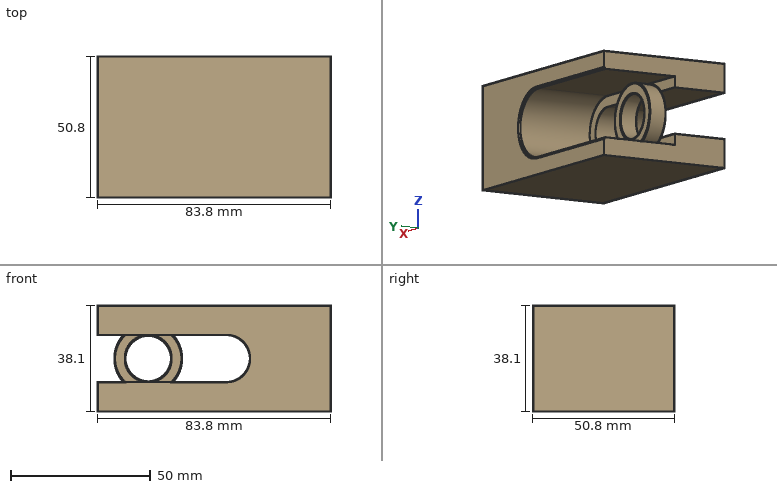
import cadquery as cq

BLOCK_LENGTH = 83.82
BLOCK_WIDTH = 50.8
BLOCK_HEIGHT = 38.1

SLOT_AXIS_X = 46.3
NARROW_SLOT_HEIGHT = 16.9
WIDE_SLOT_HEIGHT = 25.0
STEP_Y = 21.0
MOUTH_CHAMFER = 0.6

RING_CENTER_X = 18.2
RING_OUTER_DIAMETER = 24.4
RING_BORE_DIAMETER = 16.4
RING_THICKNESS = 6.9
RING_CHAMFER = 0.25


def slot_cutter(height, start_y, end_y):
    """Slot open at X = 0 with a round inner end, running along Y."""
    radius = height / 2
    profile = (
        cq.Workplane("XZ", origin=(0, start_y, 0))
        .moveTo(0, -radius)
        .lineTo(SLOT_AXIS_X, -radius)
        .threePointArc((SLOT_AXIS_X + radius, 0), (SLOT_AXIS_X, radius))
        .lineTo(0, radius)
        .close()
    )
    return profile.extrude(start_y - end_y)


def make_block():
    """Rectangular block with the stepped slot and a chamfered rear slot mouth."""
    block = cq.Workplane("XY").box(
        BLOCK_LENGTH, BLOCK_WIDTH, BLOCK_HEIGHT, centered=(False, False, True)
    )
    block = block.cut(slot_cutter(NARROW_SLOT_HEIGHT, 0, STEP_Y))
    block = block.cut(slot_cutter(WIDE_SLOT_HEIGHT, STEP_Y, BLOCK_WIDTH))
    mouth_region = cq.selectors.BoxSelector(
        (0, 0, -WIDE_SLOT_HEIGHT / 2 - MOUTH_CHAMFER),
        (BLOCK_LENGTH, 2 * BLOCK_WIDTH, WIDE_SLOT_HEIGHT / 2 + MOUTH_CHAMFER),
    )
    rear_mouth = block.faces(">Y").edges("|X or %CIRCLE").edges(mouth_region)
    return rear_mouth.chamfer(MOUTH_CHAMFER)


def make_ring():
    """Ring with its axis along Y and both rims chamfered, outside and in the bore."""
    return (
        cq.Workplane("XZ", origin=(RING_CENTER_X, STEP_Y, 0))
        .circle(RING_OUTER_DIAMETER / 2)
        .circle(RING_BORE_DIAMETER / 2)
        .extrude(-RING_THICKNESS)
        .edges("%CIRCLE")
        .chamfer(RING_CHAMFER)
    )


block = make_block()
ring = make_ring()
result = cq.Compound.makeCompound([block.val(), ring.val()])